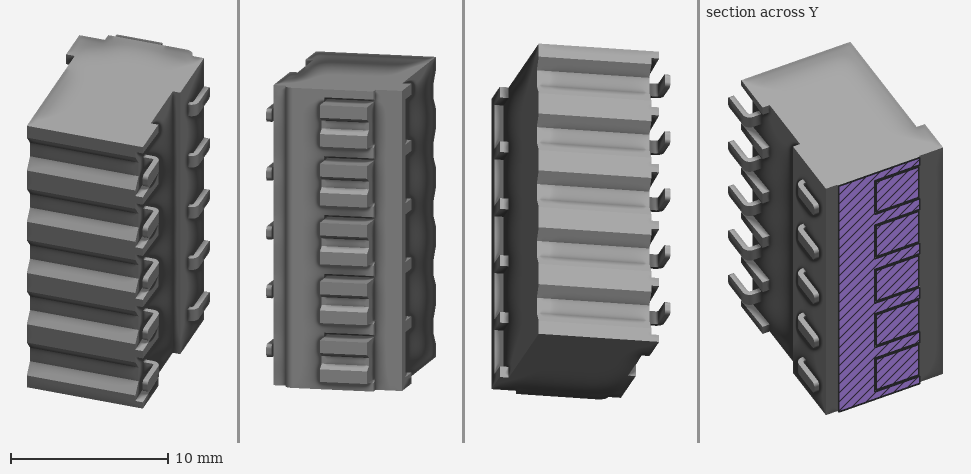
import cadquery as cq


length = 19.44
pole_count = 5
pitch = 3.81
pole_centers = [length / 2 + (i - (pole_count - 1) / 2) * pitch for i in range(pole_count)]

body_left = 0.58
body_right = 8.42
body_top = 11.6
ridge_left = 1.73
ridge_right = 7.6
ridge_top = 12.23
ridge_radius = 0.58
foot_height = 0.5
recess_bottom = 2.94
recess_top = 7.1
standoff_x = body_right - foot_height

rail_bottom = 10.63
tooth_bottom = 9.1
tooth_width = 0.72

groove_depth = 0.6
groove_mouth = 2.45
groove_floor = 1.01
gap_mouth = 3.27
gap_back = 2.97

lever_left = 1.79
lever_right = 4.88
lever_top = 13.67
lever_width = 2.68
lever_notch_depth = 0.5
lever_notch_mouth = 1.05
lever_notch_floor = 0.5
slot_clearance = 0.08
slot_width = lever_width + 2 * slot_clearance
slot_right = lever_right + slot_clearance
slot_lead_depth = 0.2
slot_lead_widening = 0.15

pin_right = 9.0
pin_thickness = 0.35
pin_width = 0.85
pin_outer_radius = 0.5
pin_tip_radius = 0.27
lower_pin_edge = 1.8
lower_pin_tip = -0.72
upper_pin_edge = 8.51
upper_pin_tip = 11.14


def box(x_range, y_range, z_range):
    """Block spanning the given (low, high) range on each axis."""
    sizes = [high - low for low, high in (x_range, y_range, z_range)]
    corner = (x_range[0], y_range[0], z_range[0])
    return cq.Workplane("XY").box(*sizes, centered=False).translate(corner)


def extrude_along_x(points, x_start, x_end):
    """Extrude a closed (Y, Z) outline from x_start to x_end."""
    return cq.Workplane("YZ").workplane(offset=x_start).polyline(points).close().extrude(x_end - x_start)


def make_housing():
    """Main block with the rounded ridge on +Y and the full-length recess between the feet."""
    block = box((body_left, body_right), (0, body_top), (0, length))
    ridge = box((ridge_left, ridge_right), (rail_bottom, ridge_top), (0, length))
    ridge = ridge.edges("|Z and >X and >Y").fillet(ridge_radius)
    recess = box((standoff_x, body_right), (recess_bottom, recess_top), (0, length))
    return block.union(ridge).cut(recess)


def make_rail():
    """Full-length rail on -X with one tooth at each end and one between neighbouring poles."""
    rail = box((0, body_left), (rail_bottom, body_top), (0, length))
    tooth_starts = [0, length - tooth_width]
    tooth_starts += [center + pitch / 2 - tooth_width / 2 for center in pole_centers[:-1]]
    for start in tooth_starts:
        rail = rail.union(box((0, body_left), (tooth_bottom, rail_bottom), (start, start + tooth_width)))
    return rail


def make_groove(z):
    """Trapezoidal groove across the -Y face."""
    points = [
        (0, z - groove_mouth / 2),
        (groove_depth, z - groove_floor / 2),
        (groove_depth, z + groove_floor / 2),
        (0, z + groove_mouth / 2),
    ]
    return extrude_along_x(points, body_left, body_right)


def make_foot_gap(z):
    """Gap between the lower feet, narrowing from the -Y face to the recess."""
    points = [
        (0, z - gap_mouth / 2),
        (recess_bottom, z - gap_back / 2),
        (recess_bottom, z + gap_back / 2),
        (0, z + gap_mouth / 2),
    ]
    return extrude_along_x(points, standoff_x, body_right)


def make_lever_slot(z):
    """Slot through the ridge with a widened lead-in at its mouth."""
    half = slot_width / 2
    wide = half + slot_lead_widening
    lead_bottom = ridge_top - slot_lead_depth
    taper_bottom = lead_bottom - slot_lead_widening
    points = [
        (body_top, z - half),
        (taper_bottom, z - half),
        (lead_bottom, z - wide),
        (ridge_top, z - wide),
        (ridge_top, z + wide),
        (lead_bottom, z + wide),
        (taper_bottom, z + half),
        (body_top, z + half),
    ]
    return extrude_along_x(points, ridge_left, slot_right)


def make_lever(z):
    """Lever block with a tapered notch in its +Y end, rooted in the housing."""
    half = lever_width / 2
    notch_bottom = lever_top - lever_notch_depth
    points = [
        (rail_bottom, z - half),
        (lever_top, z - half),
        (lever_top, z - lever_notch_mouth / 2),
        (notch_bottom, z - lever_notch_floor / 2),
        (notch_bottom, z + lever_notch_floor / 2),
        (lever_top, z + lever_notch_mouth / 2),
        (lever_top, z + half),
        (rail_bottom, z + half),
    ]
    return extrude_along_x(points, lever_left, lever_right)


def make_pin(z, outer_edge, tip, direction):
    """L-shaped pin: leaves along +X at outer_edge, then bends along Y in the given direction to tip."""
    inner_edge = outer_edge + direction * pin_thickness
    inner_x = pin_right - pin_thickness
    inner_radius = pin_outer_radius - pin_thickness
    pin = (
        cq.Workplane("XY")
        .workplane(offset=z - pin_width / 2)
        .moveTo(standoff_x, outer_edge)
        .lineTo(pin_right - pin_outer_radius, outer_edge)
        .tangentArcPoint((pin_right, outer_edge + direction * pin_outer_radius), relative=False)
        .lineTo(pin_right, tip)
        .lineTo(inner_x, tip)
        .lineTo(inner_x, inner_edge + direction * inner_radius)
        .tangentArcPoint((inner_x - inner_radius, inner_edge), relative=False)
        .lineTo(standoff_x, inner_edge)
        .close()
        .extrude(pin_width)
    )
    tip_face = ">Y" if direction > 0 else "<Y"
    return pin.faces(tip_face).edges("|X").fillet(pin_tip_radius)


result = make_housing().union(make_rail())
for pole_z in pole_centers:
    result = result.cut(make_groove(pole_z))
    result = result.cut(make_foot_gap(pole_z))
    result = result.cut(make_lever_slot(pole_z))
    result = result.union(make_lever(pole_z))
    result = result.union(make_pin(pole_z, lower_pin_edge, lower_pin_tip, -1))
    result = result.union(make_pin(pole_z, upper_pin_edge, upper_pin_tip, 1))